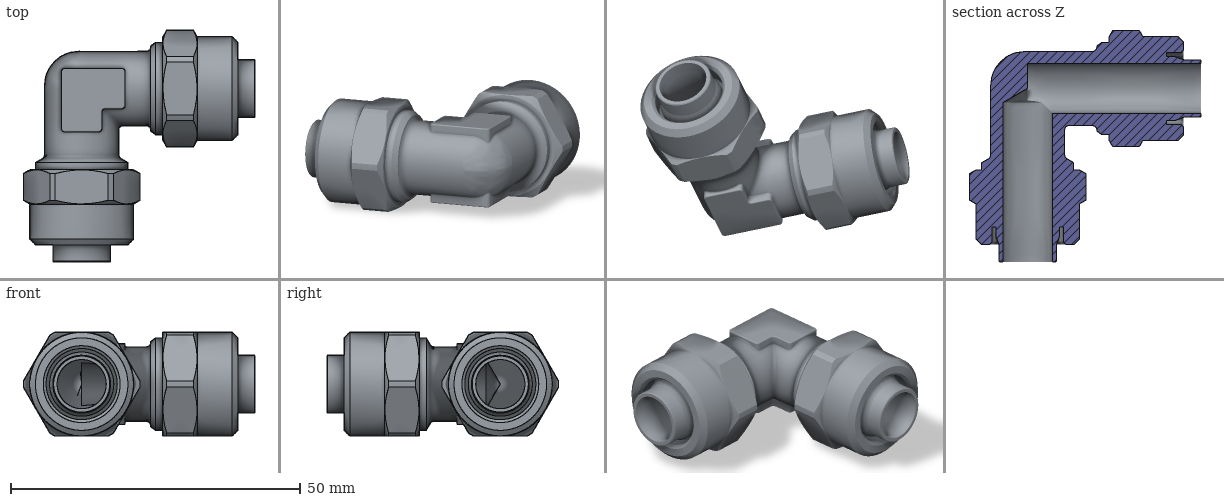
import cadquery as cq
import math


body_radius = 12.9 / 2
outer_bend_fillet = 6.0
inner_bend_fillet = 0.6
bend_flat_height = 6.2
bore_radius = 8.5 / 2
bore_tip_half_angle = math.radians(60)

collar_radius = 8.0
collar_fillet = 0.7
collar_rim_station = 12.8
step_face_station = 11.9
step_face_radius = 7.35
cone_slope = math.radians(60)

nut_start = 14.0
hex_end = 20.0
nut_end = 27.0
across_flats = 18.0
hex_corner_radius = 10.1
hex_chamfer_radius = 8.9
hex_chamfer_slope = math.radians(30)
nut_sleeve_radius = 18.0 / 2
nut_end_chamfer = 1.0

nut_mouth_radius = 12.3 / 2
nut_mouth_chamfer = 0.5
ferrule_radius = 11.1 / 2
ferrule_taper_length = 1.5
mouth_depth = 3.0

tube_radius = 10.0 / 2
tube_end = 30.0
tube_edge_chamfer = 0.15

pad_arm_length = 7.5
pad_half_width = 3.5
pad_height = 7.0
pad_corner_radius = 0.6
pad_top_fillet = 0.2
pad_foot_fillet = 0.2


def revolve_about_x(profile):
    """Revolve a closed profile of (station, radius) about the X axis."""
    return profile.close().revolve(360, (0, 0, 0), (1, 0, 0))


def to_y_port(shape):
    """Turn a shape built along +X so that it lies along -Y."""
    return shape.rotate((0, 0, 0), (0, 0, 1), -90)


def bend_edges(side):
    """Selector for the mitre edge: side -1 is outside the bend, +1 is inside it."""
    reach = 1.1 * body_radius
    near = 0.1 * side
    far = reach * side
    return cq.selectors.BoxSelector((near, -near, -reach), (far, -far, reach))


def round_leg(start):
    """Body cylinder along X from start to the nut, its seam turned to the top."""
    leg = cq.Workplane("YZ").workplane(offset=start).circle(body_radius).extrude(nut_start - start)
    return leg.rotate((0, 0, 0), (1, 0, 0), 90)


def make_elbow_body():
    """Two mitred legs with the outer and inner bend edges rounded.

    The bend is cut flat above and below, where the pads cover it, so that its
    rounded edges end on a plane; full round legs continue from there.
    """
    leg = round_leg(-body_radius)
    span = 2 * nut_start
    x_side_of_mitre = (
        cq.Workplane("XY")
        .workplane(offset=-span)
        .polyline([(-span, span), (span, span), (span, -span)])
        .close()
        .extrude(2 * span)
    )
    x_leg = leg.intersect(x_side_of_mitre)
    y_leg = to_y_port(leg).cut(x_side_of_mitre)
    flat_slab = cq.Workplane("XY").box(2 * span, 2 * span, 2 * bend_flat_height)
    bend = (
        x_leg
        .union(y_leg)
        .intersect(flat_slab)
        .edges(bend_edges(-1))
        .fillet(outer_bend_fillet)
        .edges(bend_edges(1))
        .fillet(inner_bend_fillet)
    )
    straight_start = body_radius + inner_bend_fillet
    straight = round_leg(straight_start)
    return bend.union(straight).union(to_y_port(straight))


def make_stepped_collar():
    """Collar of the X port: a fillet up to a flat step, then a short cone to the rim."""
    fillet_start = step_face_station - collar_fillet
    fillet_top = body_radius + collar_fillet
    diagonal = collar_fillet * math.sqrt(0.5)
    fillet_mid = (fillet_start + diagonal, fillet_top - diagonal)
    profile = (
        cq.Workplane("XY")
        .moveTo(fillet_start, 0)
        .lineTo(fillet_start, body_radius)
        .threePointArc(fillet_mid, (step_face_station, fillet_top))
        .lineTo(step_face_station, step_face_radius)
        .lineTo(collar_rim_station, collar_radius)
        .lineTo(nut_start, collar_radius)
        .lineTo(nut_start, 0)
    )
    return revolve_about_x(profile)


def make_conical_collar():
    """Collar of the Y port: a cone to the rim, blended into the body by a fillet."""
    cone_foot = collar_rim_station - (collar_radius - body_radius) / math.tan(cone_slope)
    tangent = collar_fillet * math.tan(cone_slope / 2)
    fillet_start = cone_foot - tangent
    fillet_end = (
        cone_foot + tangent * math.cos(cone_slope),
        body_radius + tangent * math.sin(cone_slope),
    )
    fillet_mid = (
        fillet_start + collar_fillet * math.sin(cone_slope / 2),
        body_radius + collar_fillet * (1 - math.cos(cone_slope / 2)),
    )
    profile = (
        cq.Workplane("XY")
        .moveTo(fillet_start, 0)
        .lineTo(fillet_start, body_radius)
        .threePointArc(fillet_mid, fillet_end)
        .lineTo(collar_rim_station, collar_radius)
        .lineTo(nut_start, collar_radius)
        .lineTo(nut_start, 0)
    )
    return revolve_about_x(profile)


def make_nut_hex():
    """Hexagon with turned corners, chamfered on both ends, flats facing +Z and -Z."""
    chamfer_length = (hex_corner_radius - hex_chamfer_radius) * math.tan(hex_chamfer_slope)
    turned = revolve_about_x(
        cq.Workplane("XY")
        .moveTo(nut_start, 0)
        .lineTo(nut_start, hex_chamfer_radius)
        .lineTo(nut_start + chamfer_length, hex_corner_radius)
        .lineTo(hex_end - chamfer_length, hex_corner_radius)
        .lineTo(hex_end, hex_chamfer_radius)
        .lineTo(hex_end, 0)
    )
    corner_diameter = across_flats / math.cos(math.radians(30))
    prism = (
        cq.Workplane("YZ")
        .workplane(offset=nut_start)
        .polygon(6, corner_diameter)
        .extrude(hex_end - nut_start)
    )
    return turned.intersect(prism)


def make_nut_sleeve_and_tube():
    """Round end of the nut, its recessed mouth, the ferrule taper and the tube stub."""
    floor = nut_end - mouth_depth
    return revolve_about_x(
        cq.Workplane("XY")
        .moveTo(hex_end, 0)
        .lineTo(hex_end, nut_sleeve_radius)
        .lineTo(nut_end - nut_end_chamfer, nut_sleeve_radius)
        .lineTo(nut_end, nut_sleeve_radius - nut_end_chamfer)
        .lineTo(nut_end, nut_mouth_radius + nut_mouth_chamfer)
        .lineTo(nut_end - nut_mouth_chamfer, nut_mouth_radius)
        .lineTo(floor, nut_mouth_radius)
        .lineTo(floor, ferrule_radius)
        .lineTo(nut_end - ferrule_taper_length, ferrule_radius)
        .lineTo(nut_end, tube_radius)
        .lineTo(tube_end - tube_edge_chamfer, tube_radius)
        .lineTo(tube_end, tube_radius - tube_edge_chamfer)
        .lineTo(tube_end, 0)
    )


def make_pads():
    """L-shaped block through the bend, showing as a pad on the top and the bottom."""
    w = pad_half_width
    block = (
        cq.Workplane("XY")
        .workplane(offset=-pad_height)
        .polyline([
            (-w, w),
            (pad_arm_length, w),
            (pad_arm_length, -w),
            (w, -w),
            (w, -pad_arm_length),
            (-w, -pad_arm_length),
        ])
        .close()
        .extrude(2 * pad_height)
    )
    return block.edges("|Z").fillet(pad_corner_radius).faces("|Z").edges().fillet(pad_top_fillet)


def make_x_bore():
    """Bore of the X port, ending flat on the axis of the Y port."""
    return cq.Workplane("YZ").circle(bore_radius).extrude(tube_end)


def make_y_bore():
    """Bore of the Y port, built along +X, with a drill tip ending at the origin."""
    tip_length = bore_radius / math.tan(bore_tip_half_angle)
    return revolve_about_x(
        cq.Workplane("XY")
        .moveTo(0, 0)
        .lineTo(tip_length, bore_radius)
        .lineTo(tube_end, bore_radius)
        .lineTo(tube_end, 0)
    )


def make_body():
    """Elbow and pads joined, with a fillet where the pads meet the round body."""
    body = make_elbow_body().union(make_pads())
    for side in (-1, 1):
        low = side * bend_flat_height * 0.7
        high = side * (body_radius + 0.05)
        reach = pad_arm_length + 0.1
        foot = cq.selectors.BoxSelector((-reach, -reach, low), (reach, reach, high))
        body = body.edges(foot).edges("not |Z").fillet(pad_foot_fillet)
    return body


nut_and_tube = make_nut_hex().union(make_nut_sleeve_and_tube())
x_port = make_stepped_collar().union(nut_and_tube)
y_port = to_y_port(make_conical_collar().union(nut_and_tube))

result = (
    make_body()
    .union(x_port)
    .union(y_port)
    .cut(make_x_bore())
    .cut(to_y_port(make_y_bore()))
)